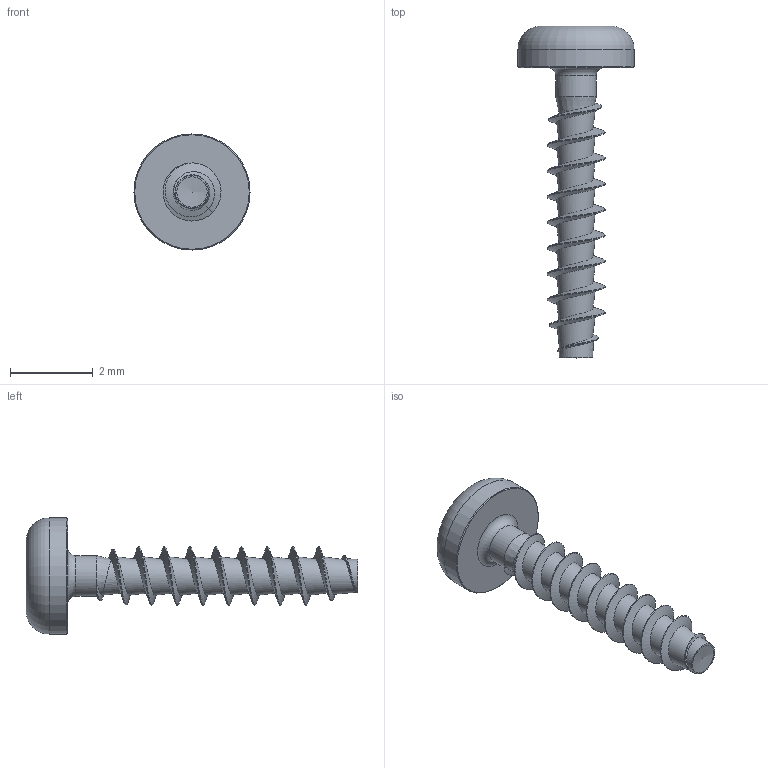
import cadquery as cq
import math


head_radius = 1.4
head_height = 1.0
head_rim_height = 0.44
head_edge_chamfer = 0.02
head_dome_radius = head_height - head_rim_height

shank_radius = 0.49
neck_fillet = 0.2
thread_top = -0.7
tip = -7.0

core_radius = 0.41
tip_radius = 0.39
tip_dimple_radius = 0.365
tip_dimple_depth = 0.03
run_in_radius = shank_radius
run_in_bottom = -1.1
run_in_bottom_radius = 0.4

pitch = 0.62
crest_radius = 0.7
crest_flat = 0.02
flank_slope = 0.3
min_ridge_height = 0.005
run_in_crest_radius = 0.56
run_in_start = -0.55
run_in_end = -1.42
run_out_start = -6.06
run_out_slope = 0.342
crest_at_plus_x = -1.562

ramp_rise = 0.055

lead_in_turns = 3.125
helix_start = crest_at_plus_x + lead_in_turns * pitch
helix_turns = math.ceil((helix_start - tip) / pitch)
points_per_turn = 24


def tip_fraction(y):
    """0 where the run-out begins, 1 at the tip."""
    return min(1.0, max(0.0, (run_out_start - y) / (run_out_start - tip)))


def core_low_at(y):
    """Core radius at the upper foot of the ridge, narrowing slightly toward the tip."""
    return core_radius - tip_fraction(y) * (core_radius - tip_radius)


def core_high_at(y):
    """Core radius at the lower foot of the ridge, fading to the low radius at the tip."""
    return core_low_at(y) + ramp_rise * (1 - tip_fraction(y))


def crest_at(y):
    """Crest radius, rising over the run-in and falling over the run-out at the tip."""
    crest = crest_radius
    if y > run_in_end:
        rise = (run_in_start - y) / (run_in_start - run_in_end)
        crest = run_in_crest_radius + rise * (crest_radius - run_in_crest_radius)
    elif y < run_out_start:
        crest = crest_radius - run_out_slope * (run_out_start - y)
    return max(crest, core_high_at(y) + min_ridge_height)


def ridge_section(y):
    """(radius, axial offset) of upper foot, upper crest, lower crest and lower foot."""
    crest = crest_at(y)
    low = core_low_at(y)
    high = core_high_at(y)
    half_crest = crest_flat / 2
    return [
        (low, half_crest + flank_slope * (crest - low)),
        (crest, half_crest),
        (crest, -half_crest),
        (high, -half_crest - flank_slope * (crest - high)),
    ]


def helix_point(y, radius, offset):
    """Point beside the ridge where its centre is at height y; the thread is right-handed."""
    angle = 2 * math.pi * (crest_at_plus_x - y) / pitch
    return cq.Vector(radius * math.cos(angle), y + offset, radius * math.sin(angle))


def section_points(turn):
    y = helix_start - turn * pitch
    return [helix_point(y, *corner) for corner in ridge_section(y)]


def turn_edges(turn):
    """One turn of the four helical edges of the ridge."""
    sections = [section_points(turn + i / points_per_turn) for i in range(points_per_turn + 1)]
    return [cq.Edge.makeSpline(list(path)) for path in zip(*sections)]


def axis_point(turn):
    return cq.Vector(0, helix_start - turn * pitch, 0)


def end_faces(turn, upper_foot):
    """Spiral face from the upper foot to the axis, and the flat step that closes one turn."""
    axis_points = [axis_point(turn + i / points_per_turn) for i in range(points_per_turn + 1)]
    spiral = cq.Face.makeRuledSurface(upper_foot, cq.Edge.makeSpline(axis_points))
    next_foot = section_points(turn + 1)[0]
    outline = [axis_point(turn), *section_points(turn), next_foot, axis_point(turn + 1)]
    step = cq.Face.makeFromWires(cq.Wire.makePolygon(outline, close=True))
    return [spiral, step]


def helical_body():
    """Solid bounded by the ridge and by the sloped core between its turns."""
    turns = [turn_edges(turn) for turn in range(helix_turns + 1)]
    faces = end_faces(0, turns[0][0]) + end_faces(helix_turns, turns[-1][0])
    for edges, next_edges in zip(turns, turns[1:]):
        outline = edges + next_edges[:1]
        faces += [cq.Face.makeRuledSurface(a, b) for a, b in zip(outline, outline[1:])]
    return cq.Workplane(cq.Solid.makeSolid(cq.Shell.makeShell(faces)).fix())


def revolve_about_y(profile):
    return profile.close().revolve(360, (0, 0, 0), (0, 1, 0))


def head_and_shank():
    dome_mid = head_dome_radius * math.sqrt(0.5)
    dome_center_radius = head_radius - head_dome_radius
    neck_mid = neck_fillet * (1 - math.sqrt(0.5))
    profile = (
        cq.Workplane("XY")
        .moveTo(0, head_height)
        .lineTo(dome_center_radius, head_height)
        .threePointArc(
            (dome_center_radius + dome_mid, head_rim_height + dome_mid),
            (head_radius, head_rim_height),
        )
        .lineTo(head_radius, head_edge_chamfer)
        .lineTo(head_radius - head_edge_chamfer, 0)
        .lineTo(shank_radius + neck_fillet, 0)
        .threePointArc((shank_radius + neck_mid, -neck_mid), (shank_radius, -neck_fillet))
        .lineTo(shank_radius, thread_top)
        .lineTo(0, thread_top)
    )
    return revolve_about_y(profile)


def run_in_cone():
    profile = (
        cq.Workplane("XY")
        .moveTo(0, thread_top)
        .lineTo(run_in_radius, thread_top)
        .lineTo(run_in_bottom_radius, run_in_bottom)
        .lineTo(0, run_in_bottom)
    )
    return revolve_about_y(profile)


def tip_dimple():
    """Shallow spherical hollow in the end face."""
    sphere_radius = (tip_dimple_radius**2 + tip_dimple_depth**2) / (2 * tip_dimple_depth)
    sphere_center = tip + tip_dimple_depth - sphere_radius
    half_angle = math.asin(tip_dimple_radius / sphere_radius) / 2
    arc_mid = (
        sphere_radius * math.sin(half_angle),
        sphere_center + sphere_radius * math.cos(half_angle),
    )
    profile = (
        cq.Workplane("XY")
        .moveTo(0, tip)
        .lineTo(tip_dimple_radius, tip)
        .threePointArc(arc_mid, (0, tip + tip_dimple_depth))
    )
    return revolve_about_y(profile)


def threaded_length():
    envelope = cq.Workplane("XZ", origin=(0, thread_top, 0)).circle(head_radius).extrude(thread_top - tip)
    return helical_body().intersect(envelope)


result = head_and_shank().union(run_in_cone()).union(threaded_length()).cut(tip_dimple())